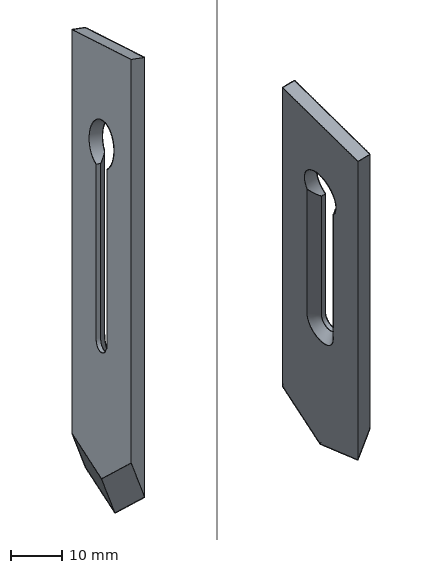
import cadquery as cq
import math

width = 24.0
thickness = 3.0
length = 95.25

point_height = 6.25
bevel_height = 7.35

hole_diameter = 10.0
hole_center_z = 75.0
slot_width = 4.3
slot_end_center_z = 35.05

countersink_half_angle = 45.0
countersink_land = 1.0

half_width = width / 2
slot_travel = hole_center_z - slot_end_center_z
slot_middle_z = (hole_center_z + slot_end_center_z) / 2
countersink_depth = thickness - countersink_land
countersink_widening = countersink_depth * math.tan(math.radians(countersink_half_angle))
countersink_width = slot_width + 2 * countersink_widening


def make_blade():
    """Flat blade with a V-shaped lower end, front face at Y = 0 and back face at Y = thickness."""
    outline = [
        (-half_width, length),
        (-half_width, point_height),
        (0, 0),
        (half_width, point_height),
        (half_width, length),
    ]
    return cq.Workplane("XZ").polyline(outline).close().extrude(-thickness)


def make_bevel_cutter(side):
    """Wedge that grinds one half of the point: side is -1 for -X and +1 for +X.

    The wedge section lies on X = 0 and is swept along that half's edge of the point.
    """
    section = cq.Workplane("YZ").polyline([(0, 0), (thickness, 0), (0, bevel_height)]).close()
    edge_path = cq.Workplane("XZ").lineTo(side * half_width, point_height)
    return section.sweep(edge_path)


def slot_profile(face_y, profile_width):
    """Round-ended slot on the plane Y = face_y, from the slot end up to the hole center."""
    return (
        cq.Workplane("XZ", origin=(0, face_y, 0))
        .center(0, slot_middle_z)
        .slot2D(slot_travel + profile_width, profile_width, 90)
    )


def make_keyhole():
    """Hole and slot through the full thickness."""
    hole = cq.Workplane("XZ").center(0, hole_center_z).circle(hole_diameter / 2).extrude(-thickness)
    slot = slot_profile(0, slot_width).extrude(-thickness)
    return hole.union(slot)


def make_slot_countersink():
    """Tapered widening of the slot, narrowing from the back face towards the front."""
    return slot_profile(thickness, countersink_width).extrude(
        countersink_depth, taper=countersink_half_angle
    )


result = make_blade().cut(make_keyhole()).cut(make_slot_countersink())
for side in (-1, 1):
    result = result.cut(make_bevel_cutter(side))